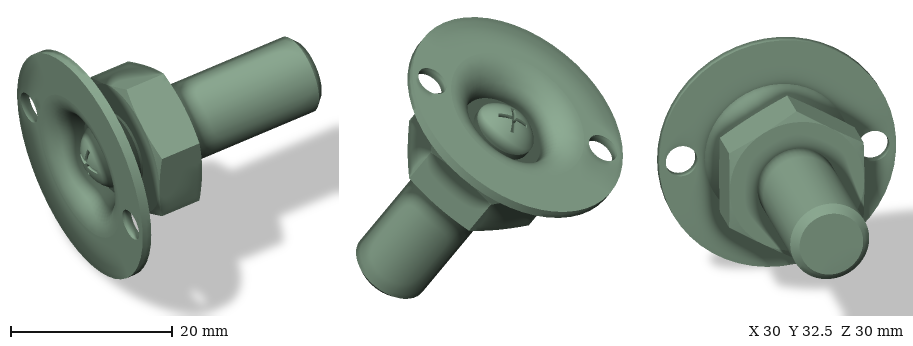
import cadquery as cq
import math

total_length = 32.5

flange_diameter = 30.0
flange_thickness = 1.25
hole_diameter = 4.0
hole_offset = 12.15

cone_base_radius = 9.23
neck_radius = 4.6
neck_start = 6.0

recess_floor_radius = 5.5
flare_radius = 4.0
recess_depth = flare_radius
recess_mouth_radius = recess_floor_radius + flare_radius

dome_radius = 4.0
dome_height = 2.18
dome_rim_height = 1.0
slot_length = 4.05
slot_width = 0.6
slot_depth = 1.0

nut_start = 6.35
nut_thickness = 6.18
nut_across_flats = 17.03
nut_across_corners = nut_across_flats / math.cos(math.radians(30))
nut_end = nut_start + nut_thickness
nut_bevel_height = 0.4
nut_bevel_width = (nut_across_corners - nut_across_flats) / 2

shank_diameter = 10.0
shank_chamfer = 0.98


def revolve_about_y(profile):
    """Turn a closed radius-Y profile about the Y axis."""
    return profile.close().revolve(360, (0, 0, 0), (0, 1, 0))


def cylinder_along_y(diameter, start, length):
    return cq.Workplane("XZ", origin=(0, start, 0)).circle(diameter / 2).extrude(-length)


def make_flanged_cup():
    flange = cylinder_along_y(flange_diameter, 0, flange_thickness)
    cone = revolve_about_y(
        cq.Workplane("XY")
        .lineTo(cone_base_radius, 0)
        .lineTo(cone_base_radius, flange_thickness)
        .lineTo(neck_radius, neck_start)
        .lineTo(neck_radius, nut_start)
        .lineTo(0, nut_start)
    )
    arc_reach = flare_radius * math.sqrt(0.5)
    recess = revolve_about_y(
        cq.Workplane("XY")
        .lineTo(recess_mouth_radius, 0)
        .threePointArc(
            (recess_mouth_radius - arc_reach, flare_radius - arc_reach),
            (recess_floor_radius, recess_depth),
        )
        .lineTo(0, recess_depth)
    )
    cup = flange.union(cone).cut(recess)
    for side in (-1, 1):
        hole = cylinder_along_y(hole_diameter, 0, flange_thickness)
        cup = cup.cut(hole.translate((side * hole_offset, 0, 0)))
    return cup


def make_slotted_dome():
    sphere_radius = (dome_radius**2 + dome_height**2) / (2 * dome_height)
    rim_edge = recess_depth - dome_rim_height
    apex = rim_edge - dome_height
    half_angle = math.asin(dome_radius / sphere_radius) / 2
    arc_middle = (
        sphere_radius * math.sin(half_angle),
        apex + sphere_radius * (1 - math.cos(half_angle)),
    )
    dome = revolve_about_y(
        cq.Workplane("XY")
        .moveTo(0, apex)
        .threePointArc(arc_middle, (dome_radius, rim_edge))
        .lineTo(dome_radius, recess_depth)
        .lineTo(0, recess_depth)
    )
    slot_plane = cq.Workplane("XZ", origin=(0, apex, 0))
    for width, height in ((slot_length, slot_width), (slot_width, slot_length)):
        dome = dome.cut(slot_plane.rect(width, height).extrude(-slot_depth))
    return dome


def make_nut():
    hexagon = (
        cq.Workplane("XZ", origin=(0, nut_start, 0))
        .polygon(6, nut_across_corners)
        .extrude(-nut_thickness)
        .rotate((0, 0, 0), (0, 1, 0), 30)
    )
    bevelled_disc = (
        cylinder_along_y(nut_across_corners, nut_start, nut_thickness)
        .edges()
        .chamfer(nut_bevel_height, nut_bevel_width)
    )
    return hexagon.intersect(bevelled_disc)


def make_shank():
    shank = cylinder_along_y(shank_diameter, nut_end, total_length - nut_end)
    return shank.faces(">Y").chamfer(shank_chamfer)


result = make_flanged_cup().union(make_slotted_dome()).union(make_nut()).union(make_shank())